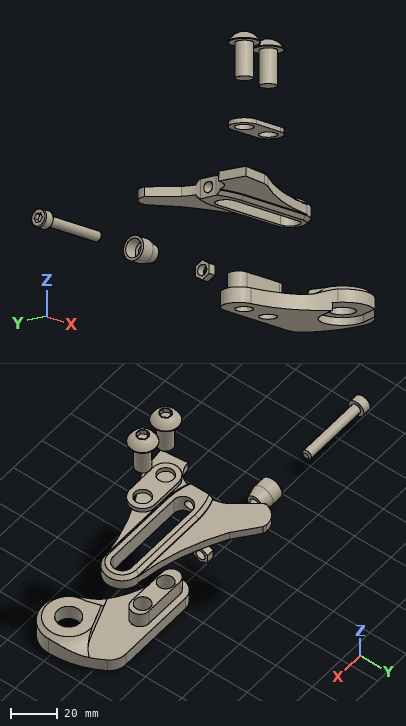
import cadquery as cq
import math


SCREW_SPACING = 16.0
SCREW_POSITIONS = [(0.0, 0.0), (SCREW_SPACING, 0.0)]

ARM_THICKNESS = 7.0
ARM_END_X = -3.5
ARM_END_RADIUS = 8.0
FLANK_RADIUS = 48.0
SHOULDER_RADIUS = 9.0
HUB_X = 39.2
HUB_Y = -22.3
HUB_RADIUS = 14.0
HUB_HEIGHT = 11.5
HUB_TOP_INSET = 2.3
HUB_BORE = 12.0
RAMP_RADIUS = 21.6
STEP_START = (17.3, -18.3)
STEP_BEND = (38.8, -10.2)
STEP_CURVE = (44.8, -7.2)
STEP_END = (49.2, -3.0)
HUB_CORNER = (25.2, -14.9)
HUB_CORNER_TAPER = 40.0
POCKET_RADIUS = 10.5
POCKET_DEPTH = 3.5
POCKET_ANGLE = 250.0
PAD_START = -8.6
PAD_END = 22.6
PAD_WIDTH = 9.6
PAD_TOP = 15.0
THREAD_BORE = 8.0

FORK_MID_Z = 49.5
BODY_THICKNESS = 9.0
BODY_HALF_WIDTH = 9.3
BODY_CHAMFER = 1.8
BODY_LEFT = -27.0
BODY_TAPER_START = -11.0
BODY_LEFT_HALF_WIDTH = 5.7
WING_THICKNESS = 4.5
WING_TOUCH_X = 31.0
FORK_FACE_X = -24.0
FORK_FACE_HALF_WIDTH = 4.4
SLOT_WIDTH = 10.0
SLOT_START = -12.0
SLOT_END = 30.15
FORK_HOLE = 5.0

UPPER_NOTCH_MIDDLE = (-24.6, 9.0)
UPPER_NOTCH_END = (-26.3, 13.2)
UPPER_TIP_START = (-36.2, 25.8)
UPPER_TIP_MIDDLE = (-33.6, 31.6)
UPPER_TIP_TOP = (-27.0, 34.12)
UPPER_TIP_END = (-25.2, 33.6)
UPPER_ELBOW = (-13.5, 24.3)
UPPER_FLANK_MIDDLE = (7.0, 14.8)
LOWER_FLANK_MIDDLE = (7.0, -15.0)
LOWER_ELBOW = (-14.3, -25.5)
LOWER_TIP_START = (-18.5, -27.1)
LOWER_TIP_CORNER = (-33.0, -28.8)
LOWER_TIP_END = (-34.4, -14.7)
LOWER_NOTCH_MIDDLE = (-27.05, -11.7)

PLATE_BOTTOM = 81.5
PLATE_THICKNESS = 2.3
PLATE_RADIUS = 7.0
PLATE_HOLE = 8.4
CLAMP_TIP_Z = 103.24
CLAMP_LENGTH = 16.0
CLAMP_DIAMETER = 8.0
CLAMP_HEAD_RADIUS = 7.0
CLAMP_HEAD_HEIGHT = 4.4
CLAMP_HEAD_RIM = 0.4
CLAMP_HEAD_FLAT_RADIUS = 2.9
CLAMP_DOME_POINT = (5.3, 2.8)
CLAMP_SOCKET = 5.0
CLAMP_SOCKET_DEPTH = 2.5

ADJUSTER_Z = 11.5
ADJUSTER_HEAD_X = -137.35
ADJUSTER_HEAD_DIAMETER = 8.5
ADJUSTER_HEAD_HEIGHT = 5.0
ADJUSTER_HEAD_CHAMFER = 0.5
ADJUSTER_DIAMETER = 5.0
ADJUSTER_LENGTH = 35.0
ADJUSTER_TIP_CHAMFER = 0.8
ADJUSTER_SOCKET = 4.0
ADJUSTER_SOCKET_DEPTH = 2.5
SLEEVE_X = -73.9
SLEEVE_LENGTH = 12.0
SLEEVE_STRAIGHT = 6.4
SLEEVE_RADIUS = 5.7
SLEEVE_NOSE_RADIUS = 4.2
SLEEVE_COUNTERBORE = 8.7
SLEEVE_BORE = 5.2
NUT_X = -28.1
NUT_THICKNESS = 4.0
NUT_ACROSS_FLATS = 8.0
NUT_BORE = 5.0
NUT_TURN = 30.0


def across_corners(across_flats):
    return across_flats / math.cos(math.radians(30))


def obround(start, end, width, bottom, height):
    """Slot-shaped prism along X between two end centres."""
    return (cq.Workplane("XY", origin=((start + end) / 2, 0, bottom))
            .slot2D(end - start + width, width).extrude(height))


def toward(origin, target, distance):
    """Point at a distance from origin, in the direction of target."""
    span = math.dist(origin, target)
    return tuple(o + (t - o) * distance / span for o, t in zip(origin, target))


def tangent_circle_centre(end, hub):
    """Centre of the concave flank circle touching the free end and the hub."""
    to_end = FLANK_RADIUS + ARM_END_RADIUS
    to_hub = FLANK_RADIUS + HUB_RADIUS
    span = math.dist(end, hub)
    along = (span**2 + to_end**2 - to_hub**2) / (2 * span)
    aside = math.sqrt(to_end**2 - along**2)
    ux = (hub[0] - end[0]) / span
    uy = (hub[1] - end[1]) / span
    return (end[0] + ux * along + uy * aside, end[1] + uy * along - ux * aside)


def arm_blank(height):
    end = (ARM_END_X, 0.0)
    hub = (HUB_X, HUB_Y)
    flank = tangent_circle_centre(end, hub)
    end_touch = toward(end, flank, ARM_END_RADIUS)
    hub_touch = toward(hub, flank, HUB_RADIUS)
    flank_middle = toward(flank, ((end_touch[0] + hub_touch[0]) / 2, (end_touch[1] + hub_touch[1]) / 2),
                          FLANK_RADIUS)
    back_centre_x = HUB_X + HUB_RADIUS - FLANK_RADIUS
    back_rise = ARM_END_RADIUS - HUB_Y
    corner = (back_centre_x + math.sqrt(FLANK_RADIUS**2 - back_rise**2), ARM_END_RADIUS)
    back_angle = math.asin(back_rise / FLANK_RADIUS) / 2
    back_middle = (back_centre_x + FLANK_RADIUS * math.cos(back_angle),
                   HUB_Y + FLANK_RADIUS * math.sin(back_angle))
    return (
        cq.Workplane("XY")
        .moveTo(ARM_END_X, ARM_END_RADIUS)
        .threePointArc((ARM_END_X - ARM_END_RADIUS, 0), end_touch)
        .threePointArc(flank_middle, hub_touch)
        .threePointArc((HUB_X, HUB_Y - HUB_RADIUS), (HUB_X + HUB_RADIUS, HUB_Y))
        .threePointArc(back_middle, corner)
        .close()
        .extrude(height)
        .edges(cq.selectors.NearestToPointSelector((*corner, height / 2)))
        .fillet(SHOULDER_RADIUS)
    )


def hub_rise():
    """Raised hub: flat top, hollow ramp down to the plate, and a step on the slot side."""
    top_radius = HUB_RADIUS - HUB_TOP_INSET
    rise = HUB_HEIGHT - ARM_THICKNESS
    run = RAMP_RADIUS - top_radius
    hollow_radius = (run**2 + rise**2) / (2 * rise)
    rim_run = RAMP_RADIUS - HUB_RADIUS
    ramp_rim_z = ARM_THICKNESS + hollow_radius - math.sqrt(hollow_radius**2 - rim_run**2)
    ramp = (
        cq.Workplane("XZ", origin=(HUB_X, HUB_Y, 0))
        .polyline([(0, HUB_HEIGHT), (0, 0), (RAMP_RADIUS, 0), (RAMP_RADIUS, ARM_THICKNESS)])
        .threePointArc((HUB_RADIUS, ramp_rim_z), (top_radius, HUB_HEIGHT))
        .close()
        .revolve(360, (0, 0), (0, 1))
    )
    corner = (
        cq.Workplane("XY", origin=(0, 0, HUB_HEIGHT))
        .polyline([(HUB_X, HUB_Y), (HUB_X, HUB_Y + top_radius), HUB_CORNER, (HUB_X - top_radius, HUB_Y)])
        .close()
        .extrude(ARM_THICKNESS - HUB_HEIGHT, taper=-HUB_CORNER_TAPER)
    )
    reach = 2 * RAMP_RADIUS
    hub_side = (
        cq.Workplane("XY")
        .polyline([(HUB_X + reach, HUB_Y - reach), (HUB_X - reach, HUB_Y - reach),
                   toward(STEP_BEND, STEP_START, reach), STEP_BEND])
        .threePointArc(STEP_CURVE, STEP_END)
        .lineTo(*toward(STEP_CURVE, STEP_END, reach))
        .close()
        .extrude(HUB_HEIGHT)
    )
    return ramp.union(corner).intersect(hub_side).intersect(arm_blank(HUB_HEIGHT))


def hub_pocket():
    """Round recess under the hub with a parallel-sided mouth to the outside."""
    mouth = (
        cq.Workplane("XY")
        .rect(2 * HUB_RADIUS, 2 * POCKET_RADIUS)
        .extrude(POCKET_DEPTH)
        .translate((HUB_RADIUS, 0, 0))
        .rotate((0, 0, 0), (0, 0, 1), POCKET_ANGLE)
    )
    recess = cq.Workplane("XY").circle(POCKET_RADIUS).extrude(POCKET_DEPTH)
    return recess.union(mouth).translate((HUB_X, HUB_Y, 0))


def make_pivot_arm():
    pad = obround(PAD_START + PAD_WIDTH / 2, PAD_END - PAD_WIDTH / 2, PAD_WIDTH, 0, PAD_TOP)
    bores = cq.Workplane("XY").pushPoints(SCREW_POSITIONS).circle(THREAD_BORE / 2).extrude(PAD_TOP)
    pivot = cq.Workplane("XY").center(HUB_X, HUB_Y).circle(HUB_BORE / 2).extrude(HUB_HEIGHT)
    arm = arm_blank(ARM_THICKNESS).union(hub_rise()).union(pad)
    return arm.cut(bores).cut(pivot).cut(hub_pocket())


def fork_outline(thickness):
    """Forked outline with both jaws, as a plate about the middle plane of the fork."""
    nose_drop = WING_TOUCH_X - SLOT_END
    touch_y = math.sqrt(BODY_HALF_WIDTH**2 - nose_drop**2)
    return (
        cq.Workplane("XY", origin=(0, 0, FORK_MID_Z - thickness / 2))
        .moveTo(FORK_FACE_X, FORK_FACE_HALF_WIDTH)
        .threePointArc(UPPER_NOTCH_MIDDLE, UPPER_NOTCH_END)
        .lineTo(*UPPER_TIP_START)
        .threePointArc(UPPER_TIP_MIDDLE, UPPER_TIP_TOP)
        .lineTo(*UPPER_TIP_END)
        .lineTo(*UPPER_ELBOW)
        .threePointArc(UPPER_FLANK_MIDDLE, (WING_TOUCH_X, touch_y))
        .threePointArc((SLOT_END + BODY_HALF_WIDTH, 0), (WING_TOUCH_X, -touch_y))
        .threePointArc(LOWER_FLANK_MIDDLE, LOWER_ELBOW)
        .lineTo(*LOWER_TIP_START)
        .lineTo(*LOWER_TIP_CORNER)
        .lineTo(*LOWER_TIP_END)
        .threePointArc(LOWER_NOTCH_MIDDLE, (FORK_FACE_X, -FORK_FACE_HALF_WIDTH))
        .close()
        .extrude(thickness)
    )


def fork_body():
    """Thick slotted bar, tapered toward the left, chamfered, and trimmed to the jaw outline."""
    drop = BODY_HALF_WIDTH - BODY_LEFT_HALF_WIDTH
    run = BODY_TAPER_START - BODY_LEFT
    taper_middle = BODY_TAPER_START - run / 2
    taper_middle_half_width = BODY_HALF_WIDTH - drop / 4
    bar = (
        cq.Workplane("XY", origin=(0, 0, FORK_MID_Z - BODY_THICKNESS / 2))
        .moveTo(BODY_LEFT, BODY_LEFT_HALF_WIDTH)
        .threePointArc((taper_middle, taper_middle_half_width), (BODY_TAPER_START, BODY_HALF_WIDTH))
        .lineTo(SLOT_END, BODY_HALF_WIDTH)
        .threePointArc((SLOT_END + BODY_HALF_WIDTH, 0), (SLOT_END, -BODY_HALF_WIDTH))
        .lineTo(BODY_TAPER_START, -BODY_HALF_WIDTH)
        .threePointArc((taper_middle, -taper_middle_half_width), (BODY_LEFT, -BODY_LEFT_HALF_WIDTH))
        .close()
        .extrude(BODY_THICKNESS)
    )
    chamfered = bar.faces("<Z or >Z").edges("not(<X)").chamfer(BODY_CHAMFER)
    return chamfered.intersect(fork_outline(BODY_THICKNESS))


def make_fork():
    slot = obround(SLOT_START, SLOT_END, SLOT_WIDTH, FORK_MID_Z - BODY_THICKNESS / 2, BODY_THICKNESS)
    hole = (
        cq.Workplane("YZ", origin=(FORK_FACE_X, 0, FORK_MID_Z))
        .circle(FORK_HOLE / 2)
        .extrude(SLOT_START - FORK_FACE_X)
    )
    return fork_body().union(fork_outline(WING_THICKNESS)).cut(slot).cut(hole)


def make_clamp_plate():
    plate = obround(0, SCREW_SPACING, 2 * PLATE_RADIUS, PLATE_BOTTOM, PLATE_THICKNESS)
    holes = (
        cq.Workplane("XY", origin=(0, 0, PLATE_BOTTOM))
        .pushPoints(SCREW_POSITIONS)
        .circle(PLATE_HOLE / 2)
        .extrude(PLATE_THICKNESS)
    )
    return plate.cut(holes)


def make_clamp_screw(x, y):
    shank_radius = CLAMP_DIAMETER / 2
    top = CLAMP_LENGTH + CLAMP_HEAD_HEIGHT
    rim = CLAMP_LENGTH + CLAMP_HEAD_RIM
    dome_radius, dome_height = CLAMP_DOME_POINT
    screw = (
        cq.Workplane("XZ")
        .polyline([(0, top), (0, 0), (shank_radius, 0), (shank_radius, CLAMP_LENGTH),
                   (CLAMP_HEAD_RADIUS, CLAMP_LENGTH), (CLAMP_HEAD_RADIUS, rim)])
        .threePointArc((dome_radius, CLAMP_LENGTH + dome_height), (CLAMP_HEAD_FLAT_RADIUS, top))
        .close()
        .revolve(360, (0, 0), (0, 1))
    )
    socket = (
        cq.Workplane("XY", origin=(0, 0, top - CLAMP_SOCKET_DEPTH))
        .polygon(6, across_corners(CLAMP_SOCKET))
        .extrude(CLAMP_SOCKET_DEPTH)
    )
    return screw.cut(socket).translate((x, y, CLAMP_TIP_Z))


def make_adjuster_screw():
    head = (
        cq.Workplane("YZ")
        .circle(ADJUSTER_HEAD_DIAMETER / 2)
        .extrude(ADJUSTER_HEAD_HEIGHT)
        .faces("<X").edges().chamfer(ADJUSTER_HEAD_CHAMFER)
    )
    shank = (
        cq.Workplane("YZ")
        .circle(ADJUSTER_DIAMETER / 2)
        .extrude(ADJUSTER_HEAD_HEIGHT + ADJUSTER_LENGTH)
        .faces(">X").edges().chamfer(ADJUSTER_TIP_CHAMFER)
    )
    socket = cq.Workplane("YZ").polygon(6, across_corners(ADJUSTER_SOCKET)).extrude(ADJUSTER_SOCKET_DEPTH)
    return head.union(shank).cut(socket).translate((ADJUSTER_HEAD_X, 0, ADJUSTER_Z))


def make_sleeve():
    bore = SLEEVE_BORE / 2
    counterbore = SLEEVE_COUNTERBORE / 2
    return (
        cq.Workplane("XY")
        .polyline([(0, counterbore), (0, SLEEVE_RADIUS), (SLEEVE_STRAIGHT, SLEEVE_RADIUS),
                   (SLEEVE_LENGTH, SLEEVE_NOSE_RADIUS), (SLEEVE_LENGTH, bore),
                   (SLEEVE_STRAIGHT, bore), (SLEEVE_STRAIGHT, counterbore)])
        .close()
        .revolve(360, (0, 0), (1, 0))
        .translate((SLEEVE_X, 0, ADJUSTER_Z))
    )


def make_nut():
    return (
        cq.Workplane("YZ")
        .polygon(6, across_corners(NUT_ACROSS_FLATS))
        .circle(NUT_BORE / 2)
        .extrude(NUT_THICKNESS)
        .rotate((0, 0, 0), (1, 0, 0), NUT_TURN)
        .translate((NUT_X, 0, ADJUSTER_Z))
    )


pivot_arm = make_pivot_arm()
fork = make_fork()
clamp_plate = make_clamp_plate()
clamp_screws = [make_clamp_screw(x, y) for x, y in SCREW_POSITIONS]
adjuster_screw = make_adjuster_screw()
sleeve = make_sleeve()
nut = make_nut()

result = cq.Compound.makeCompound([
    pivot_arm.val(),
    fork.val(),
    clamp_plate.val(),
    *[screw.val() for screw in clamp_screws],
    adjuster_screw.val(),
    sleeve.val(),
    nut.val(),
])